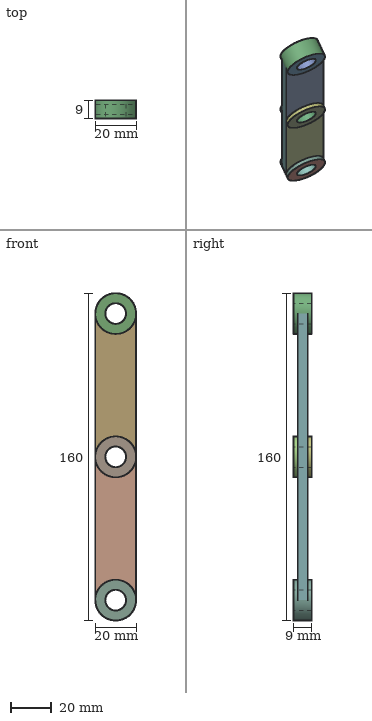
import cadquery as cq

boss_diameter = 20.0
hole_diameter = 10.0
boss_length = 9.0
bar_thickness = 5.0
hole_pitch = 70.0

bar_width = boss_diameter
bar_length = 2 * hole_pitch
pivot_heights = [-hole_pitch, 0.0, hole_pitch]


def y_cylinder(diameter, length, height):
    """Cylinder along Y, centred on Y = 0, with its axis at Z = height."""
    return (
        cq.Workplane("XZ", origin=(0, length / 2, height))
        .circle(diameter / 2)
        .extrude(length)
    )


link = cq.Workplane("XY").box(bar_width, bar_thickness, bar_length)

for pivot_height in pivot_heights:
    link = link.union(y_cylinder(boss_diameter, boss_length, pivot_height))

for pivot_height in pivot_heights:
    link = link.cut(y_cylinder(hole_diameter, boss_length, pivot_height))

result = link